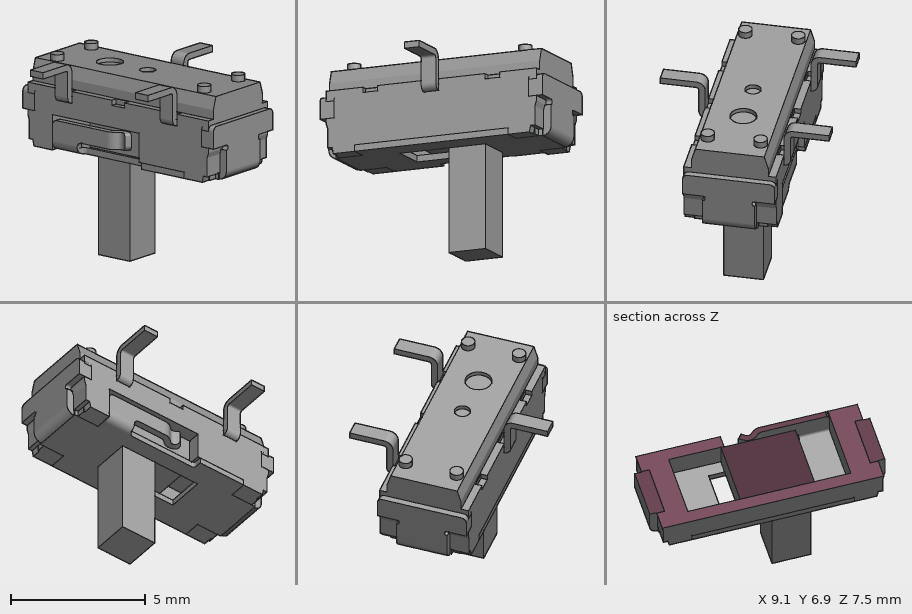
import cadquery as cq
import math

LENGTH = 9.1
KNOB_LENGTH = 3.995
SHEET = 0.25
BEND_OUTER = 0.35
BEND_INNER = BEND_OUTER - SHEET

HOUSING_HALF_X = LENGTH / 2 - SHEET
HALF_Y = 1.75
BLOCK_TOP = 3.26
TAPER_BOTTOM = 2.76
SHELF_Z = 2.41
BLOCK_TOP_HALF_Y = 1.3
BLOCK_HALF_Y = 1.46
LOWER_HALF_X = 4.24
SLOPE_TOP, SLOPE_BOTTOM = 1.165, 0.965
POST_TOP_X, POST_BOTTOM_X = 4.07, 4.01
POST_SLOPE_Y = 1.38
NOTCH_FLOOR = 2.21
NOTCH_INNER_Y = 1.5
PEG_DIAMETER = 0.5
PEG_X, PEG_Y = 3.5, 1.0
PEG_TOP = BLOCK_TOP + SHEET
LARGE_RECESS_DIAMETER, LARGE_RECESS_X = 1.0, -1.8
SMALL_RECESS_DIAMETER, SMALL_RECESS_X = 0.6, 0.0
RECESS_DEPTH = 0.155

TERMINAL_WIDTH = 0.6
TERMINAL_PITCH = 2.5
TERMINAL_REACH = 3.45
FRONT_TERMINAL_X = (-TERMINAL_PITCH, TERMINAL_PITCH)
REAR_TERMINAL_X = 0.0

KNOB_SIDE = 1.5
KNOB_X = -1.0
SLIDER_LEFT = KNOB_X - KNOB_SIDE / 2
SLIDER_RIGHT = 1.14
SLIDER_HALF_Y = 1.25

PLATE_HALF_X, PLATE_HALF_Y = 4.22, 1.05
TAB_HALF_X = 3.14
END_THICKNESS = 0.56
END_INNER_X = LENGTH / 2 - END_THICKNESS
END_TOP = 2.21
END_CORNER_RADIUS = 0.2
BAR_BOTTOM = 1.365
STEM_HALF_Y = 0.99
BAR_SLOT_RADIUS = 0.1

WINDOW_LEFT, WINDOW_RIGHT = -TAB_HALF_X, 1.0
WINDOW_TOP = BAR_BOTTOM
ARM_TOP, ARM_BOTTOM = 1.165, 0.5
ARM_ROOT_RIGHT = -1.96
ARM_CORNER_RADIUS = 0.21
TIP_TOP_RADIUS = 0.1
EDGE_NOTCH_RIGHT = 1.11
EDGE_NOTCH_Y = 1.38
EDGE_NOTCH_RIGHT_RADIUS = EDGE_NOTCH_RIGHT - WINDOW_RIGHT
DETENT_START = -0.52
ENTRY_ANGLE, EXIT_ANGLE = 50.0, 40.0
ENTRY_RADIUS, VALLEY_RADIUS = 0.47, 0.2
TIP_LENGTH = 0.155


def block(x0, x1, y0, y1, z0, z1):
    """Box between two corners."""
    return cq.Workplane("XY").box(x1 - x0, y1 - y0, z1 - z0, centered=False).translate((x0, y0, z0))


def along_x(profile, x0, x1):
    """Extrude a closed YZ profile from x0 to x1."""
    return profile.extrude(x1 - x0).translate((x0, 0, 0))


def polar(center, radius, degrees):
    """Point on a circle; the angle is measured from +X."""
    angle = math.radians(degrees)
    return (center[0] + radius * math.cos(angle), center[1] + radius * math.sin(angle))


def make_terminal(x, side):
    """Cranked terminal; side is -1 for the front wall and +1 for the rear wall."""
    foot_bottom = NOTCH_FLOOR - SHEET
    outer_y = HALF_Y + SHEET
    corner = (HALF_Y, NOTCH_FLOOR)
    bend = (HALF_Y + BEND_OUTER, PEG_TOP - BEND_OUTER)
    profile = (
        cq.Workplane("YZ")
        .moveTo(NOTCH_INNER_Y, foot_bottom)
        .lineTo(HALF_Y, foot_bottom)
        .threePointArc(polar(corner, SHEET, -45), (outer_y, NOTCH_FLOOR))
        .lineTo(outer_y, bend[1])
        .threePointArc(polar(bend, BEND_INNER, 135), (bend[0], PEG_TOP - SHEET))
        .lineTo(TERMINAL_REACH, PEG_TOP - SHEET)
        .lineTo(TERMINAL_REACH, PEG_TOP)
        .lineTo(bend[0], PEG_TOP)
        .threePointArc(polar(bend, BEND_OUTER, 135), (HALF_Y, bend[1]))
        .lineTo(HALF_Y, NOTCH_FLOOR)
        .lineTo(NOTCH_INNER_Y, NOTCH_FLOOR)
        .close()
    )
    terminal = along_x(profile, x - TERMINAL_WIDTH / 2, x + TERMINAL_WIDTH / 2)
    if side < 0:
        terminal = terminal.mirror("XZ")
    return terminal


def make_slider():
    """Sliding block with its square knob."""
    body = block(SLIDER_LEFT, SLIDER_RIGHT, -SLIDER_HALF_Y, SLIDER_HALF_Y, SHEET, WINDOW_TOP)
    knob = block(
        SLIDER_LEFT, SLIDER_LEFT + KNOB_SIDE, -KNOB_SIDE / 2, KNOB_SIDE / 2, -KNOB_LENGTH, SHEET
    )
    return body.union(knob)


def make_cover_end():
    """T-shaped end plate at +X: a wide bar on a narrow stem that bends into the cover plate."""
    bar = block(END_INNER_X, LENGTH / 2, -HALF_Y, HALF_Y, BAR_BOTTOM, END_TOP)
    bar = bar.edges("|X and >Z").fillet(END_CORNER_RADIUS)
    stem = block(END_INNER_X, LENGTH / 2, -STEM_HALF_Y, STEM_HALF_Y, 0, BAR_BOTTOM)
    stem = stem.edges("|Y and <Z and >X").fillet(BEND_OUTER)
    slot_ends = (
        cq.Workplane("YZ")
        .pushPoints([(side * STEM_HALF_Y, BAR_BOTTOM - BAR_SLOT_RADIUS) for side in (-1, 1)])
        .circle(BAR_SLOT_RADIUS)
        .extrude(LENGTH)
    )
    return bar.union(stem).cut(slot_ends)


def make_arm_blade():
    """Flat spring blade with a V-shaped detent bend and a rounded tip."""
    outer_y, inner_y = -HALF_Y, -HALF_Y + SHEET
    entry = (DETENT_START, outer_y + ENTRY_RADIUS)
    valley = polar(entry, ENTRY_RADIUS + VALLEY_RADIUS, ENTRY_ANGLE - 90)
    entry_inner = ENTRY_RADIUS - SHEET
    valley_inner = VALLEY_RADIUS + SHEET
    entry_end, entry_mid = ENTRY_ANGLE - 90, ENTRY_ANGLE / 2 - 90
    valley_start, valley_end = ENTRY_ANGLE + 90, 90 - EXIT_ANGLE
    valley_mid = (valley_start + valley_end) / 2
    leg_inner = polar(valley, valley_inner, valley_end)
    leg_outer = polar(valley, VALLEY_RADIUS, valley_end)
    blade = (
        cq.Workplane("XY")
        .moveTo(WINDOW_LEFT, outer_y)
        .lineTo(DETENT_START, outer_y)
        .threePointArc(polar(entry, ENTRY_RADIUS, entry_mid), polar(entry, ENTRY_RADIUS, entry_end))
        .threePointArc(polar(valley, VALLEY_RADIUS, valley_mid), leg_outer)
        .lineTo(*polar(leg_outer, TIP_LENGTH, -EXIT_ANGLE))
        .lineTo(*polar(leg_inner, TIP_LENGTH, -EXIT_ANGLE))
        .lineTo(*leg_inner)
        .threePointArc(polar(valley, valley_inner, valley_mid), polar(entry, entry_inner, entry_end))
        .threePointArc(polar(entry, entry_inner, entry_mid), (DETENT_START, inner_y))
        .lineTo(WINDOW_LEFT, inner_y)
        .close()
        .extrude(ARM_TOP - ARM_BOTTOM)
        .translate((0, 0, ARM_BOTTOM))
    )
    tip_edges = cq.selectors.ParallelDirSelector(cq.Vector(*polar((0, 0), 1, valley_end), 0))
    blade = blade.edges(tip_edges).edges("<Z").fillet(ARM_CORNER_RADIUS)
    blade = blade.edges(tip_edges).edges(">Z").fillet(TIP_TOP_RADIUS)
    return blade.edges("|Y and <X and >Z").fillet(ARM_CORNER_RADIUS)


def make_arm_root():
    """Sheet that turns up from the front edge of the cover plate to carry the blade."""
    bend = (-HALF_Y + BEND_OUTER, BEND_OUTER)
    profile = (
        cq.Workplane("YZ")
        .moveTo(-PLATE_HALF_Y, 0)
        .lineTo(bend[0], 0)
        .threePointArc(polar(bend, BEND_OUTER, 225), (-HALF_Y, BEND_OUTER))
        .lineTo(-HALF_Y, ARM_BOTTOM)
        .lineTo(-HALF_Y + SHEET, ARM_BOTTOM)
        .lineTo(-HALF_Y + SHEET, BEND_OUTER)
        .threePointArc(polar(bend, BEND_INNER, 225), (bend[0], SHEET))
        .lineTo(-PLATE_HALF_Y, SHEET)
        .close()
    )
    return along_x(profile, WINDOW_LEFT, ARM_ROOT_RIGHT + ARM_CORNER_RADIUS)


def cut_front_notch(cover):
    """Free the blade: a rounded notch in the plate edge and a rounded gap under the blade."""
    plate_notch = block(ARM_ROOT_RIGHT, EDGE_NOTCH_RIGHT, -LENGTH, -EDGE_NOTCH_Y, 0, SHEET)
    plate_notch = plate_notch.edges("|Z and >Y and <X").fillet(ARM_CORNER_RADIUS)
    plate_notch = plate_notch.edges("|Z and >Y and >X").fillet(EDGE_NOTCH_RIGHT_RADIUS)
    gap = block(ARM_ROOT_RIGHT, EDGE_NOTCH_RIGHT, -LENGTH, -EDGE_NOTCH_Y, SHEET, ARM_BOTTOM)
    gap = gap.edges("|Y and >Z and <X").fillet(ARM_CORNER_RADIUS)
    return cover.cut(plate_notch).cut(gap)


def make_cover():
    """Sheet-metal cover: bottom plate, two end plates and the front spring arm."""
    plate = block(-PLATE_HALF_X, PLATE_HALF_X, -PLATE_HALF_Y, PLATE_HALF_Y, 0, SHEET)
    rear_tab = block(-TAB_HALF_X, TAB_HALF_X, 0, HALF_Y, 0, SHEET)
    front_tab = block(ARM_ROOT_RIGHT + ARM_CORNER_RADIUS, TAB_HALF_X, -HALF_Y, 0, 0, SHEET)
    end = make_cover_end()
    cover = plate.union(rear_tab).union(front_tab).union(end).union(end.mirror("YZ"))
    cover = cut_front_notch(cover.union(make_arm_root())).union(make_arm_blade())
    knob_travel = block(SLIDER_LEFT, -SLIDER_LEFT, -KNOB_SIDE / 2, KNOB_SIDE / 2, 0, SHEET)
    return cover.cut(knob_travel)


def make_housing_core():
    """Housing block with tapered upper sides, stepped ends and four corner posts."""
    section = (
        cq.Workplane("YZ")
        .polyline([
            (-HALF_Y, 0), (HALF_Y, 0), (HALF_Y, SHELF_Z), (BLOCK_HALF_Y, SHELF_Z),
            (BLOCK_HALF_Y, TAPER_BOTTOM), (BLOCK_TOP_HALF_Y, BLOCK_TOP),
            (-BLOCK_TOP_HALF_Y, BLOCK_TOP), (-BLOCK_HALF_Y, TAPER_BOTTOM),
            (-BLOCK_HALF_Y, SHELF_Z), (-HALF_Y, SHELF_Z),
        ])
        .close()
    )
    half_outline = [
        (POST_TOP_X, 0), (POST_TOP_X, SHEET), (LOWER_HALF_X, SHEET),
        (LOWER_HALF_X, SLOPE_BOTTOM), (HOUSING_HALF_X, SLOPE_TOP), (HOUSING_HALF_X, BLOCK_TOP),
    ]
    outline = half_outline + [(-x, z) for x, z in reversed(half_outline)]
    lengthwise = cq.Workplane("XZ").polyline(outline).close().extrude(HALF_Y, both=True)
    core = along_x(section, -HOUSING_HALF_X, HOUSING_HALF_X).intersect(lengthwise)
    core = core.cut(block(-LENGTH, LENGTH, -PLATE_HALF_Y, PLATE_HALF_Y, 0, SHEET))
    core = core.cut(block(-TAB_HALF_X, TAB_HALF_X, -HALF_Y, HALF_Y, 0, SHEET))

    slope_wedge = (
        cq.Workplane("XZ", origin=(0, HALF_Y, 0))
        .polyline([(POST_TOP_X, SHEET), (POST_BOTTOM_X, 0), (POST_TOP_X, 0)])
        .close()
        .extrude(HALF_Y - POST_SLOPE_Y)
    )
    for wedge in (slope_wedge, slope_wedge.mirror("XZ")):
        core = core.cut(wedge).cut(wedge.mirror("YZ"))
    return core


def make_housing(cover, terminals):
    """Housing with pegs, recesses, terminal notches, slider cavity and the arm window."""
    housing = make_housing_core()

    pegs = (
        cq.Workplane("XY", origin=(0, 0, BLOCK_TOP))
        .rect(2 * PEG_X, 2 * PEG_Y, forConstruction=True)
        .vertices()
        .circle(PEG_DIAMETER / 2)
        .extrude(PEG_TOP - BLOCK_TOP)
    )
    housing = housing.union(pegs)

    recesses = (
        (LARGE_RECESS_X, LARGE_RECESS_DIAMETER),
        (SMALL_RECESS_X, SMALL_RECESS_DIAMETER),
    )
    for x, diameter in recesses:
        floor = cq.Workplane("XY", origin=(x, 0, BLOCK_TOP - RECESS_DEPTH))
        housing = housing.cut(floor.circle(diameter / 2).extrude(RECESS_DEPTH))

    for x in (*FRONT_TERMINAL_X, REAR_TERMINAL_X):
        notch = block(
            x - TERMINAL_WIDTH / 2, x + TERMINAL_WIDTH / 2, NOTCH_INNER_Y, HALF_Y, NOTCH_FLOOR, SHELF_Z
        )
        housing = housing.cut(notch).cut(notch.mirror("XZ"))

    cavity = block(-TAB_HALF_X, TAB_HALF_X, -SLIDER_HALF_Y, SLIDER_HALF_Y, SHEET, WINDOW_TOP)
    window = block(WINDOW_LEFT, WINDOW_RIGHT, -HALF_Y, -SLIDER_HALF_Y, SHEET, WINDOW_TOP)
    housing = housing.cut(cavity).cut(window)

    for neighbour in (cover, *terminals):
        housing = housing.cut(neighbour)
    return housing


terminals = [make_terminal(x, -1) for x in FRONT_TERMINAL_X]
terminals.append(make_terminal(REAR_TERMINAL_X, 1))
slider = make_slider()
cover = make_cover()
housing = make_housing(cover, terminals)

result = cq.Compound.makeCompound(
    [body.solids().val() for body in (housing, cover, slider, *terminals)]
)